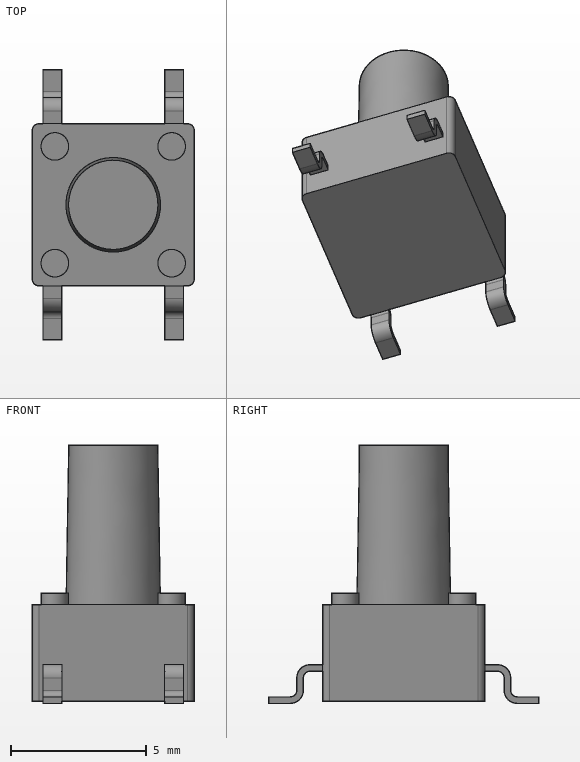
import cadquery as cq

body_side = 6.0
body_bottom = 0.08
body_top = 3.66
corner_radius = 0.25

overall_height = 9.56
actuator_base_diameter = 3.5
actuator_top_diameter = 3.3

peg_diameter = 1.02
peg_height = 0.42
peg_spacing = 4.32

lead_span = 10.0
lead_width = 0.7
lead_thickness = 0.25
lead_spacing = 4.5
lead_height = 1.44
lead_riser_outer_y = 3.96
lead_outer_radius = 0.49
lead_inner_radius = lead_outer_radius - lead_thickness


def make_body():
    body = cq.Workplane("XY").workplane(offset=body_bottom).rect(body_side, body_side)
    return body.extrude(body_top - body_bottom).edges("|Z").fillet(corner_radius)


def make_actuator():
    return (
        cq.Workplane("XY").workplane(offset=body_top)
        .circle(actuator_base_diameter / 2)
        .workplane(offset=overall_height - body_top)
        .circle(actuator_top_diameter / 2)
        .loft(ruled=True)
    )


def make_pegs():
    return (
        cq.Workplane("XY").workplane(offset=body_top)
        .rect(peg_spacing, peg_spacing, forConstruction=True).vertices()
        .circle(peg_diameter / 2).extrude(peg_height)
    )


def make_lead(x):
    """S-shaped strip leaving the housing on the +Y side, centred at x."""
    body_face = body_side / 2
    tip = lead_span / 2
    riser_inner_y = lead_riser_outer_y - lead_thickness
    shelf_bottom = lead_height - lead_thickness
    profile = (
        cq.Workplane("YZ").workplane(offset=x - lead_width / 2)
        .moveTo(body_face, lead_height)
        .lineTo(lead_riser_outer_y - lead_outer_radius, lead_height)
        .radiusArc((lead_riser_outer_y, lead_height - lead_outer_radius), lead_outer_radius)
        .lineTo(lead_riser_outer_y, lead_thickness + lead_inner_radius)
        .radiusArc((lead_riser_outer_y + lead_inner_radius, lead_thickness), -lead_inner_radius)
        .lineTo(tip, lead_thickness)
        .lineTo(tip, 0)
        .lineTo(riser_inner_y + lead_outer_radius, 0)
        .radiusArc((riser_inner_y, lead_outer_radius), lead_outer_radius)
        .lineTo(riser_inner_y, shelf_bottom - lead_inner_radius)
        .radiusArc((riser_inner_y - lead_inner_radius, shelf_bottom), -lead_inner_radius)
        .lineTo(body_face, shelf_bottom)
        .close()
    )
    return profile.extrude(lead_width)


result = make_body().union(make_actuator()).union(make_pegs())
for side in (-1, 1):
    lead = make_lead(side * lead_spacing / 2)
    result = result.union(lead).union(lead.mirror("XZ"))